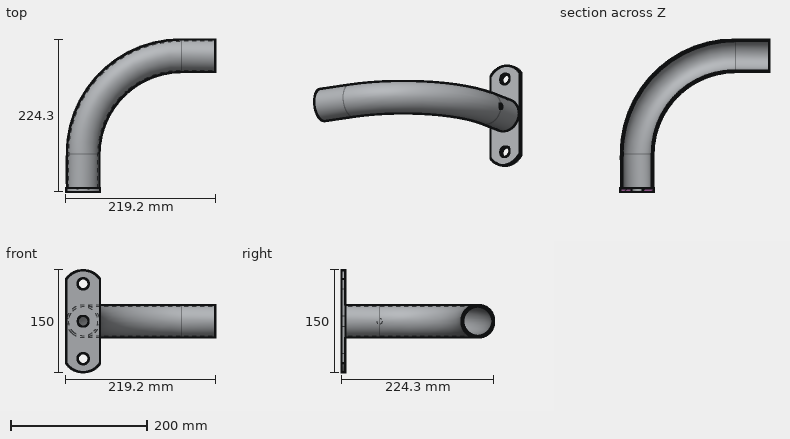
import cadquery as cq
import math


plate_width = 50.0
plate_height = 150.0
plate_thickness = 6.0
plate_end_radius = 30.0
plate_hole_diameter = 16.0
plate_hole_pitch = 55.0

tube_diameter = 48.2
tube_wall = 2.7
straight_length = plate_width
bend_radius = 144.2
side_hole_diameter = 8.0

tube_radius = tube_diameter / 2
bend_start_y = plate_thickness + straight_length


def make_plate():
    """Flat bar with arched ends and three holes along its centre line."""
    half_width = plate_width / 2
    half_height = plate_height / 2
    arch_rise = plate_end_radius - math.sqrt(plate_end_radius**2 - half_width**2)
    shoulder_z = half_height - arch_rise
    blank = (
        cq.Workplane("XZ")
        .moveTo(-half_width, -shoulder_z)
        .threePointArc((0, -half_height), (half_width, -shoulder_z))
        .lineTo(half_width, shoulder_z)
        .threePointArc((0, half_height), (-half_width, shoulder_z))
        .close()
        .extrude(-plate_thickness)
    )
    holes = (
        cq.Workplane("XZ")
        .pushPoints([(0, -plate_hole_pitch), (0, 0), (0, plate_hole_pitch)])
        .circle(plate_hole_diameter / 2)
        .extrude(-plate_thickness)
    )
    return blank.cut(holes)


def make_tube():
    """Open tube with a quarter-circle bend between two straight ends."""
    bend_end_y = bend_start_y + bend_radius
    bend_middle = (
        bend_radius * (1 - math.cos(math.pi / 4)),
        bend_start_y + bend_radius * math.sin(math.pi / 4),
    )
    path = (
        cq.Workplane("XY")
        .moveTo(0, plate_thickness)
        .lineTo(0, bend_start_y)
        .threePointArc(bend_middle, (bend_radius, bend_end_y))
        .lineTo(bend_radius + straight_length, bend_end_y)
    )
    ring = (
        cq.Workplane("XZ", origin=(0, plate_thickness, 0))
        .circle(tube_radius)
        .circle(tube_radius - tube_wall)
    )
    side_hole = (
        cq.Workplane("YZ", origin=(0, bend_start_y, 0))
        .circle(side_hole_diameter / 2)
        .extrude(-2 * tube_radius)
    )
    return ring.sweep(path).cut(side_hole)


plate = make_plate()
tube = make_tube()

result = cq.Compound.makeCompound([plate.val(), tube.val()])